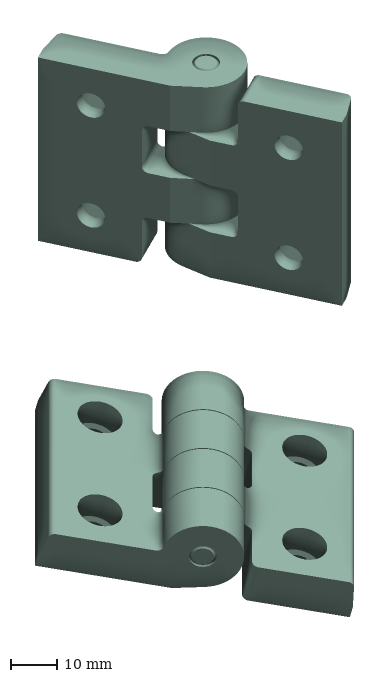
import cadquery as cq
import math

WIDTH = 70.0
HEIGHT = 50.0
DEPTH = 19.45
HALF_WIDTH = WIDTH / 2

PLATE_THICKNESS = 10.0
EDGE_LAND = 3.0
EDGE_TAPER = math.radians(10)
EDGE_RADIUS = 1.5
TAPER_TOP_X = -HALF_WIDTH + (PLATE_THICKNESS - EDGE_LAND) * math.tan(EDGE_TAPER)

BARREL_DIAMETER = 17.9
BARREL_RADIUS = BARREL_DIAMETER / 2
BARREL_Y = DEPTH - BARREL_RADIUS
RAMP_ANGLE = math.radians(15)
ROOT_RADIUS = 1.5
KNUCKLE_COUNT = 4
KNUCKLE_PITCH = HEIGHT / KNUCKLE_COUNT
KNUCKLE_GAP = 0.3
RADIAL_GAP = 2.1
NOTCH_X = BARREL_RADIUS + RADIAL_GAP
CORNER_RADIUS = 1.5

HOLE_DIAMETER = 6.5
COUNTERBORE_DIAMETER = 10.0
COUNTERBORE_DEPTH = 6.5
HOLE_X = 22.75
HOLE_Z = 15.0

PIN_DIAMETER = 6.0
PIN_CHAMFER = 0.6


def leaf_profile():
    """Outline in XY of a left leaf with its barrel centred on X = 0."""
    tangent_x = BARREL_RADIUS * math.sin(RAMP_ANGLE)
    tangent_y = BARREL_Y - BARREL_RADIUS * math.cos(RAMP_ANGLE)
    ramp_start_x = tangent_x - tangent_y / math.tan(RAMP_ANGLE)

    root_rise = PLATE_THICKNESS + ROOT_RADIUS - BARREL_Y
    centre_distance = BARREL_RADIUS + ROOT_RADIUS
    root_x = -math.sqrt(centre_distance**2 - root_rise**2)
    barrel_share = BARREL_RADIUS / centre_distance
    root_end = (root_x * barrel_share, BARREL_Y + root_rise * barrel_share)
    root_start = (root_x, PLATE_THICKNESS)

    return (
        cq.Workplane("XY")
        .moveTo(-HALF_WIDTH, 0)
        .lineTo(-HALF_WIDTH, EDGE_LAND)
        .lineTo(TAPER_TOP_X, PLATE_THICKNESS)
        .lineTo(*root_start)
        .tangentArcPoint(root_end, relative=False)
        .threePointArc((BARREL_RADIUS, BARREL_Y), (tangent_x, tangent_y))
        .lineTo(ramp_start_x, 0)
        .close()
    )


def leaf_blank():
    """Full-height left leaf with its long outer edge rounded."""
    blank = leaf_profile().extrude(HEIGHT).translate((0, 0, -HEIGHT / 2))
    outer_edge = cq.selectors.NearestToPointSelector((TAPER_TOP_X, PLATE_THICKNESS, 0))
    return blank.edges(outer_edge).fillet(EDGE_RADIUS)


def notch(bottom, top):
    """Clearance for one opposite knuckle, with rounded inner corners."""
    return (
        cq.Workplane("XY")
        .box(2 * NOTCH_X, DEPTH, top - bottom, centered=(True, False, False))
        .translate((0, 0, bottom))
        .edges("|Y and <X")
        .fillet(CORNER_RADIUS)
    )


def screw_holes():
    """Through holes and counterbores of one left leaf."""
    centres = [(-HOLE_X, -HOLE_Z), (-HOLE_X, HOLE_Z)]
    through = (
        cq.Workplane("XZ").pushPoints(centres)
        .circle(HOLE_DIAMETER / 2).extrude(-PLATE_THICKNESS)
    )
    counterbore = (
        cq.Workplane("XZ", origin=(0, PLATE_THICKNESS, 0)).pushPoints(centres)
        .circle(COUNTERBORE_DIAMETER / 2).extrude(COUNTERBORE_DEPTH)
    )
    return through.union(counterbore)


def pin_cylinder():
    """Plain pin volume, also used as the bore through the knuckles."""
    bottom_centre = (0, BARREL_Y, -HEIGHT / 2)
    return cq.Workplane("XY", origin=bottom_centre).circle(PIN_DIAMETER / 2).extrude(HEIGHT)


def make_leaf():
    """Left leaf whose knuckles are the first and third from the top."""
    leaf = leaf_blank()
    half_gap = KNUCKLE_GAP / 2
    middle_notch = notch(-half_gap, KNUCKLE_PITCH + half_gap)
    end_notch = notch(-HEIGHT, -KNUCKLE_PITCH + half_gap)
    leaf = leaf.cut(middle_notch).cut(end_notch)
    plate_corner = cq.selectors.NearestToPointSelector((-NOTCH_X, PLATE_THICKNESS / 2, -HEIGHT / 2))
    leaf = leaf.edges(plate_corner).fillet(CORNER_RADIUS)
    return leaf.cut(screw_holes()).cut(pin_cylinder())


def make_pin():
    """Hinge pin, flush with the leaves and chamfered at both ends."""
    return pin_cylinder().faces("<Z or >Z").chamfer(PIN_CHAMFER)


LEAF_TURNS = (0, 180)
leaves = [make_leaf().rotate((0, 0, 0), (0, 1, 0), turn) for turn in LEAF_TURNS]
pin = make_pin()

result = cq.Compound.makeCompound([*[leaf.val() for leaf in leaves], pin.val()])